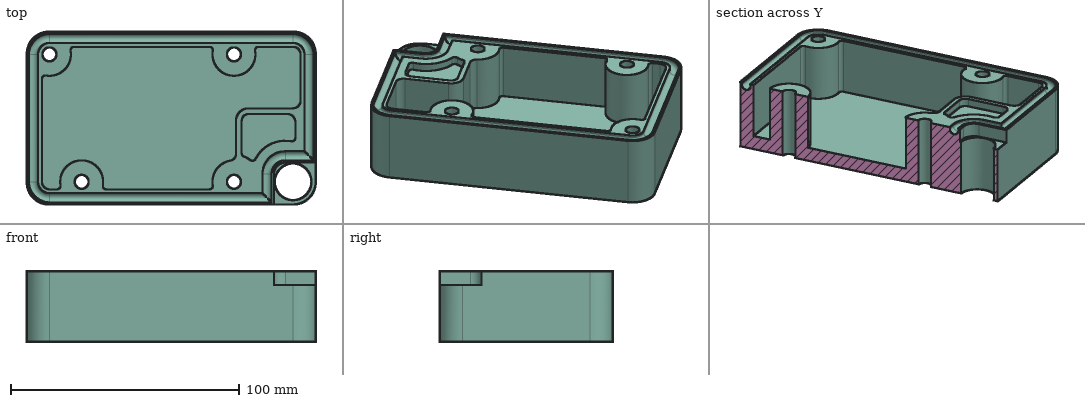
import cadquery as cq
import math

LENGTH = 126.68
WIDTH = 75.81
HEIGHT = 31.0
CORNER_RADIUS = 10.0

NOTCH_SIZE = 18.4
NOTCH_DEPTH = 6.0
NOTCH_RADIUS = 5.0
LARGE_HOLE_DIAMETER = 16.0

RIM_WIDTH = 1.0
GROOVE_WIDTH = 4.0
GROOVE_SIDE_HEIGHT = 1.0
GROOVE_OFFSET = RIM_WIDTH + GROOVE_WIDTH / 2

WALL = 6.7
FLOOR = 6.5
CAVITY_CORNER_RADIUS = CORNER_RADIUS - WALL
TOP_WALL_Y = WIDTH - WALL
RIGHT_WALL_X = LENGTH - WALL

SCREW_HOLE_DIAMETER = 6.0
BOSS_RADIUS = 9.4
BOSS_FILLET = 1.5
SCREW_INSET = 10.0
SCREW_RIGHT_X = 90.8
SCREW_FRONT_LEFT_X = 24.1
BACK_LEFT_SCREW = (SCREW_INSET, WIDTH - SCREW_INSET)
BACK_RIGHT_SCREW = (SCREW_RIGHT_X, WIDTH - SCREW_INSET)
FRONT_LEFT_SCREW = (SCREW_FRONT_LEFT_X, SCREW_INSET)
FRONT_RIGHT_SCREW = (SCREW_RIGHT_X, SCREW_INSET)
SCREWS = [BACK_LEFT_SCREW, BACK_RIGHT_SCREW, FRONT_LEFT_SCREW, FRONT_RIGHT_SCREW]

BLOCK_LEFT_X = 91.7
BLOCK_TOP_Y = 42.2
BLOCK_FILLET = 3.0
POCKET_WALL = 2.5
POCKET_CORNER_RADIUS = 3.0
POCKET_RIGHT_CORNER_RADIUS = 3.5
POCKET_FILLET = 1.5
POCKET_DEPTH = 3.5
POCKET_RIGHT_X = LENGTH - 9.0
POCKET_NOTCH_RADIUS = 14.6
BLOCK_CORNER_RADIUS = POCKET_CORNER_RADIUS + POCKET_WALL

NOTCH_CENTER = (LENGTH - NOTCH_SIZE + NOTCH_RADIUS, NOTCH_SIZE - NOTCH_RADIUS)


def slab(x_min, y_min, x_max, y_max, z_min, z_max):
    """Rectangular block given by its limits."""
    size = (x_max - x_min, y_max - y_min, z_max - z_min)
    return cq.Workplane("XY").box(*size, centered=False).translate((x_min, y_min, z_min))


def cylinder(center, radius, z_min, z_max):
    """Upright cylinder."""
    return cq.Workplane("XY", origin=(*center, z_min)).circle(radius).extrude(z_max - z_min)


def fillet_upright_edges(body, points, radius, z):
    """Round the upright edges that pass closest to the given XY points."""
    for x, y in points:
        body = body.edges("|Z").edges(cq.NearestToPointSelector((x, y, z))).fillet(radius)
    return body


def make_body():
    """Rounded block with the corner step."""
    body = slab(0, 0, LENGTH, WIDTH, 0, HEIGHT).edges("|Z").fillet(CORNER_RADIUS)
    notch = slab(LENGTH - NOTCH_SIZE, 0, LENGTH, NOTCH_SIZE, HEIGHT - NOTCH_DEPTH, HEIGHT)
    return body.cut(notch.edges("|Z and <X and >Y").fillet(NOTCH_RADIUS))


def make_groove():
    """U-shaped bar bent along the rim, for cutting the seal groove."""
    near = GROOVE_OFFSET
    far_x = LENGTH - GROOVE_OFFSET
    far_y = WIDTH - GROOVE_OFFSET
    bend = CORNER_RADIUS - GROOVE_OFFSET
    notch_bend = NOTCH_RADIUS + GROOVE_OFFSET
    notch_x = LENGTH - NOTCH_SIZE - GROOVE_OFFSET
    notch_y = NOTCH_SIZE + GROOVE_OFFSET
    path = (
        cq.Workplane("XY", origin=(0, 0, HEIGHT))
        .moveTo(LENGTH / 2, near)
        .lineTo(notch_x, near)
        .lineTo(notch_x, notch_y - notch_bend)
        .radiusArc((notch_x + notch_bend, notch_y), notch_bend)
        .lineTo(far_x, notch_y)
        .lineTo(far_x, far_y - bend)
        .radiusArc((far_x - bend, far_y), -bend)
        .lineTo(near + bend, far_y)
        .radiusArc((near, far_y - bend), -bend)
        .lineTo(near, near + bend)
        .radiusArc((near + bend, near), -bend)
        .close()
    )
    half_width = GROOVE_WIDTH / 2
    profile = (
        cq.Workplane("YZ", origin=(LENGTH / 2, near, HEIGHT))
        .moveTo(-half_width, 0)
        .lineTo(-half_width, -GROOVE_SIDE_HEIGHT)
        .threePointArc((0, -GROOVE_SIDE_HEIGHT - half_width), (half_width, -GROOVE_SIDE_HEIGHT))
        .lineTo(half_width, 0)
        .close()
    )
    return profile.sweep(path, transition="right")


def make_cavity():
    """Main cavity, shaped around the bosses and the block."""
    middle_z = (FLOOR + HEIGHT) / 2
    cavity = slab(WALL, WALL, RIGHT_WALL_X, TOP_WALL_Y, FLOOR, HEIGHT)
    block = slab(BLOCK_LEFT_X, 0, LENGTH, BLOCK_TOP_Y, 0, HEIGHT)
    cavity = cavity.cut(block)
    for screw in SCREWS:
        cavity = cavity.cut(cylinder(screw, BOSS_RADIUS, 0, HEIGHT))

    reach = math.sqrt(BOSS_RADIUS**2 - (SCREW_INSET - WALL) ** 2)
    boss_joints = [
        (BACK_LEFT_SCREW[0] + reach, TOP_WALL_Y),
        (WALL, BACK_LEFT_SCREW[1] - reach),
        (BACK_RIGHT_SCREW[0] - reach, TOP_WALL_Y),
        (BACK_RIGHT_SCREW[0] + reach, TOP_WALL_Y),
        (FRONT_LEFT_SCREW[0] - reach, WALL),
        (FRONT_LEFT_SCREW[0] + reach, WALL),
        (FRONT_RIGHT_SCREW[0] - reach, WALL),
    ]
    wall_corners = [(WALL, WALL), (RIGHT_WALL_X, TOP_WALL_Y), (RIGHT_WALL_X, BLOCK_TOP_Y)]
    block_joint = (BLOCK_LEFT_X, FRONT_RIGHT_SCREW[1] + BOSS_RADIUS)

    cavity = fillet_upright_edges(cavity, boss_joints, BOSS_FILLET, middle_z)
    cavity = fillet_upright_edges(cavity, wall_corners, CAVITY_CORNER_RADIUS, middle_z)
    cavity = fillet_upright_edges(cavity, [(BLOCK_LEFT_X, BLOCK_TOP_Y)], BLOCK_CORNER_RADIUS, middle_z)
    return fillet_upright_edges(cavity, [block_joint], BLOCK_FILLET, middle_z)


def make_pocket():
    """Shallow pocket in the block, curving around the notch and the nearby boss."""
    floor_z = HEIGHT - POCKET_DEPTH
    left_x = BLOCK_LEFT_X + POCKET_WALL
    top_y = BLOCK_TOP_Y - POCKET_WALL
    pocket = slab(left_x, NOTCH_CENTER[1], POCKET_RIGHT_X, top_y, floor_z, HEIGHT)
    pocket = pocket.edges("|Z and >Y and <X").fillet(POCKET_CORNER_RADIUS)
    pocket = pocket.edges("|Z and >Y and >X").fillet(POCKET_RIGHT_CORNER_RADIUS)
    pocket = pocket.cut(cylinder(NOTCH_CENTER, POCKET_NOTCH_RADIUS, 0, HEIGHT))
    pocket = pocket.cut(cylinder(FRONT_RIGHT_SCREW, BOSS_RADIUS + POCKET_WALL, 0, HEIGHT))
    right_rise = math.sqrt(POCKET_NOTCH_RADIUS**2 - (POCKET_RIGHT_X - NOTCH_CENTER[0]) ** 2)
    sharp_corners = [
        (left_x, FRONT_RIGHT_SCREW[1] + BOSS_RADIUS + POCKET_WALL),
        (POCKET_RIGHT_X, NOTCH_CENTER[1] + right_rise),
    ]
    pocket = fillet_upright_edges(pocket, sharp_corners, POCKET_FILLET, floor_z)
    return pocket.edges("|Z and <Y").fillet(POCKET_FILLET)


def make_holes():
    """Through holes: four for screws and the large one in the notched corner."""
    large_center = (LENGTH - CORNER_RADIUS, CORNER_RADIUS)
    holes = cylinder(large_center, LARGE_HOLE_DIAMETER / 2, 0, HEIGHT)
    for screw in SCREWS:
        holes = holes.union(cylinder(screw, SCREW_HOLE_DIAMETER / 2, 0, HEIGHT))
    return holes


result = make_body()
for cutter in (make_groove(), make_cavity(), make_pocket(), make_holes()):
    result = result.cut(cutter)